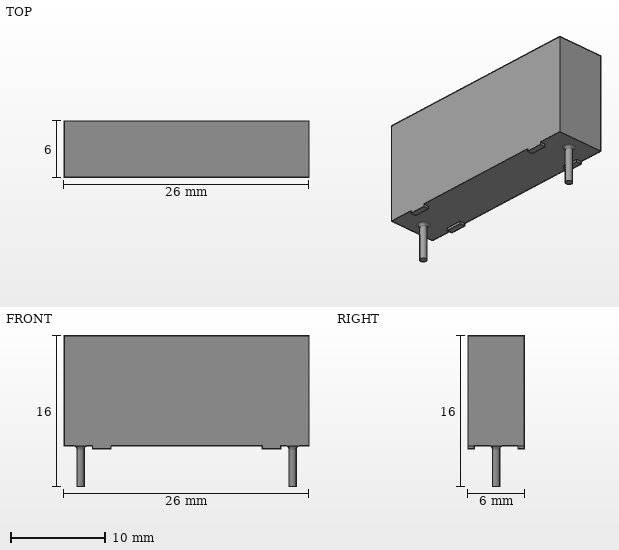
import cadquery as cq

length = 26.0
width = 6.0
total_height = 16.0

standoff = 0.3
foot_length = 2.0
foot_width = 0.7
foot_end_inset = 3.0

lead_diameter = 0.8
lead_pitch = 22.5
lead_below_seat = 4.0
lead_root_fillet = standoff

body_height = total_height - lead_below_seat - standoff


def make_body():
    """Rectangular case with its underside raised above the seating plane."""
    return (
        cq.Workplane("XY")
        .box(length, width, body_height, centered=(True, True, False))
        .translate((0, 0, standoff))
    )


def make_feet():
    """Four standoff feet, flush with the long side faces."""
    foot_x = length / 2 - foot_end_inset - foot_length / 2
    foot_y = width / 2 - foot_width / 2
    return (
        cq.Workplane("XY")
        .rect(2 * foot_x, 2 * foot_y, forConstruction=True)
        .vertices()
        .rect(foot_length, foot_width)
        .extrude(standoff)
    )


def make_lead(x):
    """Round lead that flares into the underside of the case with a concave fillet."""
    radius = lead_diameter / 2
    profile = (
        cq.Workplane("XZ")
        .moveTo(0, -lead_below_seat)
        .lineTo(radius, -lead_below_seat)
        .lineTo(radius, standoff - lead_root_fillet)
        .radiusArc((radius + lead_root_fillet, standoff), lead_root_fillet)
        .lineTo(0, standoff)
        .close()
    )
    lead = profile.revolve(360, (0, 0, 0), (0, 1, 0))
    return lead.translate((x, 0, 0))


result = make_body().union(make_feet())
for lead_x in (-lead_pitch / 2, lead_pitch / 2):
    result = result.union(make_lead(lead_x))